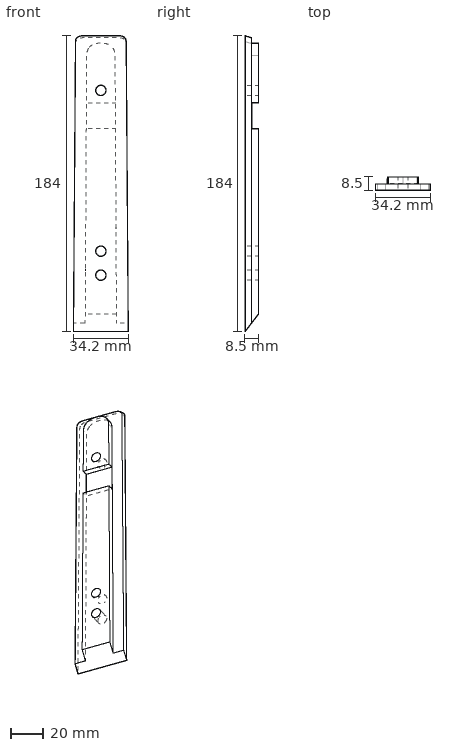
import cadquery as cq

length = 184.0
thickness = 8.5
plate_thickness = 4.0

plate_half_bottom = 17.1
plate_half_top = 15.8
plate_half_flat = 10.9

corner_height = 3.7
corner_fullness = 0.63

rib_half_bottom = 9.8
rib_half_shoulder = 8.8
rib_shoulder_z = 171.7
rib_top_z = 179.4

bottom_bevel_rise = 11.0
top_bevel_drop = 1.3

notch_bottom_z = 126.2
notch_height = 16.0
notch_land = 0.4

hole_diameter = 6.3
hole_heights = (35.1, 50.0, 150.0)


def front_plane(y):
    """Drawing plane at depth y; extruding a negative distance goes toward +Y."""
    return cq.Workplane("XZ", origin=(0, y, 0))


def rounded_top_wire(half_bottom, half_shoulder, shoulder_z, half_flat, top_z, y):
    """Closed tapered outline whose top corners are smooth full curves tangent to side and top."""
    side_handle_z = shoulder_z + corner_fullness * (top_z - shoulder_z)
    side_slope = (half_shoulder - half_bottom) / shoulder_z
    side_handle_x = half_shoulder + side_slope * (side_handle_z - shoulder_z)
    top_handle_x = half_flat + corner_fullness * (half_shoulder - half_flat)
    corner = [
        (half_shoulder, shoulder_z),
        (side_handle_x, side_handle_z),
        (top_handle_x, top_z),
        (half_flat, top_z),
    ]
    mirrored_corner = [(-x, z) for x, z in reversed(corner)]

    outline = (
        front_plane(y)
        .moveTo(-half_bottom, 0)
        .lineTo(half_bottom, 0)
        .lineTo(half_shoulder, shoulder_z)
        .bezier(corner)
    )
    if half_flat > 0:
        outline = outline.lineTo(-half_flat, top_z)
    return outline.bezier(mirrored_corner).close()


def make_plate():
    wire = rounded_top_wire(
        plate_half_bottom, plate_half_top, length - corner_height, plate_half_flat, length, 0
    ).val()
    sweep = cq.Vector(0, plate_thickness, -top_bevel_drop)
    return cq.Workplane(cq.Solid.extrudeLinear(wire, [], sweep))


def make_rib():
    return rounded_top_wire(
        rib_half_bottom, rib_half_shoulder, rib_shoulder_z, 0, rib_top_z, plate_thickness
    ).extrude(-(thickness - plate_thickness))


def make_notch():
    return (
        cq.Workplane("XY")
        .box(2 * plate_half_bottom, thickness, notch_height, centered=(True, False, False))
        .translate((0, plate_thickness + notch_land, notch_bottom_z))
    )


def make_bottom_wedge():
    return (
        cq.Workplane("YZ")
        .polyline([(0, 0), (0, -thickness), (thickness, -thickness), (thickness, bottom_bevel_rise)])
        .close()
        .extrude(plate_half_bottom, both=True)
    )


def make_holes():
    return (
        front_plane(0)
        .pushPoints([(0, z) for z in hole_heights])
        .circle(hole_diameter / 2)
        .extrude(-thickness)
    )


body = make_plate().union(make_rib())
result = body.cut(make_notch()).cut(make_bottom_wedge()).cut(make_holes())